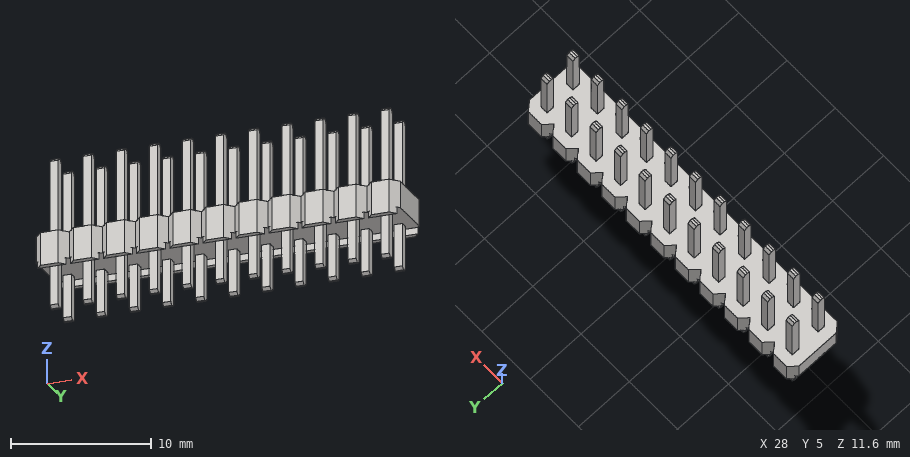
import cadquery as cq

COLUMNS = 11
ROWS = 2
LENGTH = 27.95
PITCH = LENGTH / COLUMNS

HOUSING_WIDTH = 5.0
HOUSING_HEIGHT = PITCH
CORNER_X = 0.6
CORNER_Y = 0.67
FOOT_HEIGHT = 0.5
FOOT_DEPTH = 0.48

PIN_SIZE = 0.65
PIN_ABOVE = 6.0
TOTAL_HEIGHT = 11.55
PIN_BELOW = TOTAL_HEIGHT - HOUSING_HEIGHT - PIN_ABOVE
TIP_HEIGHT = 0.22
TIP_FLAT = 0.2


def centred_places(count):
    """Pitch-spaced positions centred on zero."""
    return [(index - (count - 1) / 2) * PITCH for index in range(count)]


def housing_cell(x):
    """One octagonal cell of the housing, standing on Z = 0."""
    half_x = PITCH / 2
    half_y = HOUSING_WIDTH / 2
    flat_x = half_x - CORNER_X
    flat_y = half_y - CORNER_Y
    outline = [
        (-half_x, -flat_y),
        (-flat_x, -half_y),
        (flat_x, -half_y),
        (half_x, -flat_y),
        (half_x, flat_y),
        (flat_x, half_y),
        (-flat_x, half_y),
        (-half_x, flat_y),
    ]
    return cq.Workplane("XY").center(x, 0).polyline(outline).close().extrude(HOUSING_HEIGHT)


def underside_channel():
    """Channel along the whole underside that leaves a foot on each Y side of every cell."""
    channel_width = HOUSING_WIDTH - 2 * FOOT_DEPTH
    return cq.Workplane("XY").rect(LENGTH, channel_width).extrude(FOOT_HEIGHT)


def pin(x, y):
    """One pin passing through the housing, tapered at both ends."""
    bottom = -PIN_BELOW
    top = HOUSING_HEIGHT + PIN_ABOVE
    half_size = PIN_SIZE / 2
    half_flat = TIP_FLAT / 2
    side_profile = [
        (-half_flat, bottom),
        (half_flat, bottom),
        (half_size, bottom + TIP_HEIGHT),
        (half_size, top - TIP_HEIGHT),
        (half_flat, top),
        (-half_flat, top),
        (-half_size, top - TIP_HEIGHT),
        (-half_size, bottom + TIP_HEIGHT),
    ]
    blank = cq.Workplane("YZ").polyline(side_profile).close().extrude(half_size, both=True)
    return blank.translate((x, y, 0))


column_places = centred_places(COLUMNS)
row_places = centred_places(ROWS)

housing = housing_cell(column_places[0])
for x in column_places[1:]:
    housing = housing.union(housing_cell(x))
housing = housing.clean().cut(underside_channel())

result = housing
for x in column_places:
    for y in row_places:
        result = result.union(pin(x, y))